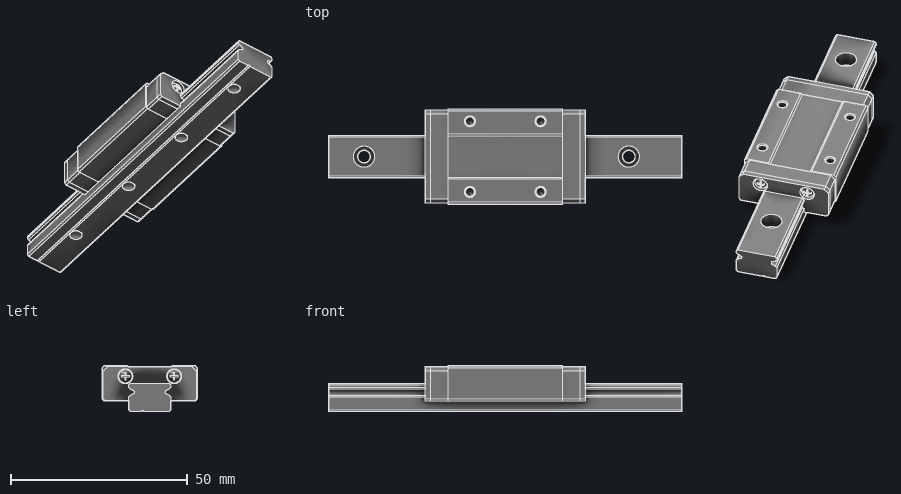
import cadquery as cq
import math


rail_length = 100.0
rail_width = 12.0
rail_height = 8.0
rail_chamfer = 0.5

groove_center_z = 5.5
groove_depth = 1.65
groove_root_radius = 0.5
groove_flank_angle = 27.0
groove_lip = 0.45

rail_hole_pitch = 25.0
rail_hole_end_offset = 10.0
rail_hole_count = 4
rail_hole_diameter = 3.5
rail_counterbore_diameter = 6.0
rail_counterbore_depth = 4.5

mark_groove_y = 2.15
mark_groove_radius = 0.3

carriage_length = 45.4
carriage_bottom_z = 3.0
carriage_bottom_chamfer = 0.6

block_length = 32.4
block_width = 27.0
block_top_z = 13.0
block_top_chamfer = 0.6

channel_top_width = 12.8
channel_floor_width = 11.8
channel_depth = 0.4

mount_pitch = 20.0
mount_hole_diameter = 2.5
mount_mouth_diameter = 3.1
mount_hole_depth = 3.5
drill_point_angle = 118.0

end_width = 26.4
end_top_z = 12.7
end_top_chamfer = 1.2
seal_thickness = 1.5
cap_length = (carriage_length - block_length) / 2 - seal_thickness

screw_spacing = 13.8
screw_z = 10.0
screw_pocket_diameter = 4.2
screw_head_diameter = 3.8
screw_dome_height = 0.8
screw_head_height = 1.4
screw_cross_length = 2.2
screw_cross_width = 0.35
screw_cross_depth = 0.8


def rail_profile():
    """The +Y half of the rail cross-section, from the underside up the side to the top."""
    half = rail_width / 2
    flank = math.radians(groove_flank_angle)
    root_y = half - groove_depth
    root_center_y = root_y + groove_root_radius
    apex_y = root_center_y - groove_root_radius / math.sin(flank)
    tangent_y = root_center_y - groove_root_radius * math.sin(flank)
    tangent_rise = groove_root_radius * math.cos(flank)
    lip_y = half - groove_lip
    lip_rise = (lip_y - apex_y) * math.tan(flank)
    mouth_rise = lip_rise + groove_lip

    return (
        cq.Workplane("YZ")
        .moveTo(half - rail_chamfer, 0)
        .lineTo(half, rail_chamfer)
        .lineTo(half, groove_center_z - mouth_rise)
        .lineTo(lip_y, groove_center_z - lip_rise)
        .lineTo(tangent_y, groove_center_z - tangent_rise)
        .threePointArc((root_y, groove_center_z), (tangent_y, groove_center_z + tangent_rise))
        .lineTo(lip_y, groove_center_z + lip_rise)
        .lineTo(half, groove_center_z + mouth_rise)
        .lineTo(half, rail_height - rail_chamfer)
        .lineTo(half - rail_chamfer, rail_height)
        .lineTo(0, rail_height)
        .lineTo(0, 0)
        .close()
    )


def make_rail_bar():
    """Rail without holes, also used to cut the passage through the carriage."""
    half_bar = rail_profile().extrude(rail_length / 2, both=True)
    return half_bar.union(half_bar.mirror("XZ"))


def make_rail():
    first_hole_x = -rail_length / 2 + rail_hole_end_offset
    hole_places = [(first_hole_x + i * rail_hole_pitch, 0) for i in range(rail_hole_count)]
    mark_groove = (
        cq.Workplane("YZ")
        .center(mark_groove_y, 0)
        .circle(mark_groove_radius)
        .extrude(rail_length / 2, both=True)
    )
    return (
        make_rail_bar()
        .cut(mark_groove)
        .faces(">Z")
        .workplane(origin=(0, 0, rail_height))
        .pushPoints(hole_places)
        .cboreHole(rail_hole_diameter, rail_counterbore_diameter, rail_counterbore_depth)
    )


def carriage_slab(start_x, length, width, top_z, top_chamfer):
    """Chamfered slice of the carriage from start_x, with the rail passage cut through it."""
    slab = (
        cq.Workplane("XY")
        .box(length, width, top_z - carriage_bottom_z, centered=(False, True, False))
        .translate((start_x, 0, carriage_bottom_z))
    )
    slab = slab.faces(">Z").edges("|X").chamfer(top_chamfer)
    slab = slab.faces("<Z").edges("|X").chamfer(carriage_bottom_chamfer)
    return slab.cut(make_rail_bar())


def mount_hole_cutter():
    """Blind drilled hole with its countersunk mouth at Z = 0."""
    radius = mount_hole_diameter / 2
    mouth_radius = mount_mouth_diameter / 2
    point_depth = radius / math.tan(math.radians(drill_point_angle / 2))
    return (
        cq.Workplane("XZ")
        .moveTo(0, 0)
        .lineTo(mouth_radius, 0)
        .lineTo(radius, radius - mouth_radius)
        .lineTo(radius, -mount_hole_depth)
        .lineTo(0, -mount_hole_depth - point_depth)
        .close()
        .revolve(360, (0, 0), (0, 1))
    )


def make_block():
    block = carriage_slab(-block_length / 2, block_length, block_width, block_top_z, block_top_chamfer)
    floor_z = block_top_z - channel_depth
    channel = (
        cq.Workplane("YZ")
        .moveTo(-channel_top_width / 2, block_top_z)
        .lineTo(-channel_floor_width / 2, floor_z)
        .lineTo(channel_floor_width / 2, floor_z)
        .lineTo(channel_top_width / 2, block_top_z)
        .close()
        .extrude(block_length / 2, both=True)
    )
    block = block.cut(channel)
    for x in (-mount_pitch / 2, mount_pitch / 2):
        for y in (-mount_pitch / 2, mount_pitch / 2):
            block = block.cut(mount_hole_cutter().translate((x, y, block_top_z)))
    return block



seal_outer_x = -carriage_length / 2
seal_inner_x = seal_outer_x + seal_thickness
screw_sides = (-screw_spacing / 2, screw_spacing / 2)


def make_end_cap():
    return carriage_slab(seal_inner_x, cap_length, end_width, end_top_z, end_top_chamfer)


def make_end_seal():
    seal = carriage_slab(seal_outer_x, seal_thickness, end_width, end_top_z, end_top_chamfer)
    for y in screw_sides:
        pocket = (
            cq.Workplane("YZ", origin=(seal_outer_x, y, screw_z))
            .circle(screw_pocket_diameter / 2)
            .extrude(seal_thickness)
        )
        seal = seal.cut(pocket)
    return seal


def make_screw(y):
    """Round head with a domed top, resting on the end cap, with a cross recess in its crown."""
    head_radius = screw_head_diameter / 2
    dome_radius = (head_radius**2 + screw_dome_height**2) / (2 * screw_dome_height)
    crown_x = seal_inner_x - screw_head_height
    place = (crown_x, y, screw_z)
    dome = cq.Workplane("XY").sphere(dome_radius).translate((crown_x + dome_radius, y, screw_z))
    seat = (
        cq.Workplane("YZ", origin=place)
        .circle(head_radius)
        .extrude(screw_head_height)
    )
    cross = (
        cq.Workplane("YZ", origin=place)
        .rect(screw_cross_length, screw_cross_width)
        .extrude(screw_cross_depth)
        .union(
            cq.Workplane("YZ", origin=place)
            .rect(screw_cross_width, screw_cross_length)
            .extrude(screw_cross_depth)
        )
    )
    return seat.intersect(dome).cut(cross)


rail = make_rail()
block = make_block()

end_parts = [make_end_cap(), make_end_seal()]
for side in screw_sides:
    end_parts.append(make_screw(side))

bodies = [*rail.solids().vals(), *block.solids().vals()]
for part in end_parts:
    bodies.extend(part.solids().vals())
    bodies.extend(part.mirror("YZ").solids().vals())

result = cq.Compound.makeCompound(bodies)